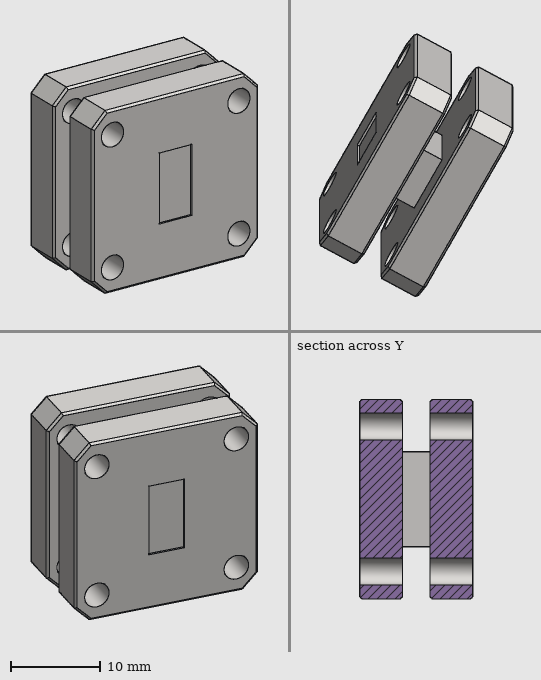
import cadquery as cq

length = 12.7
flange_side = 22.35
flange_thickness = 4.83
corner_cut = 1.85
edge_chamfer = 0.27

body_width = 6.4
body_height = 10.65

window_width = 4.34
window_height = 8.67
window_depth = 0.27

hole_diameter = 2.97
hole_spacing_y = 16.99
hole_spacing_z = 16.23


def make_flange(center_x):
    """Octagonal flange with chamfered face edges and four through holes."""
    plate = (
        cq.Workplane("XY")
        .box(flange_thickness, flange_side, flange_side)
        .edges("|X")
        .chamfer(corner_cut)
        .faces("<X or >X")
        .chamfer(edge_chamfer)
    )
    holes = (
        cq.Workplane("YZ")
        .rect(hole_spacing_y, hole_spacing_z, forConstruction=True)
        .vertices()
        .circle(hole_diameter / 2)
        .extrude(flange_thickness, both=True)
    )
    return plate.cut(holes).translate((center_x, 0, 0))


flange_center = (length - flange_thickness) / 2
result = cq.Workplane("XY").box(2 * flange_center, body_width, body_height)

for side in (-1, 1):
    result = result.union(make_flange(side * flange_center))

for side in (-1, 1):
    window = cq.Workplane("XY").box(2 * window_depth, window_width, window_height)
    result = result.cut(window.translate((side * length / 2, 0, 0)))